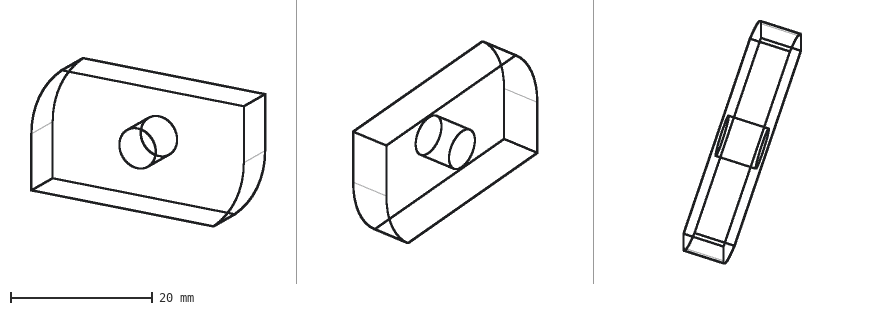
import cadquery as cq
import math

length = 35.0
thickness = 6.0
height = 19.0
hole_diameter = 6.0
corner_radius = 13.5
corner_inset = 5.0

half_length = length / 2
half_height = height / 2
arc_height = math.sqrt(corner_radius**2 - (corner_radius - corner_inset) ** 2)
arc_start_z = half_height - arc_height
edge_end_x = half_length - corner_inset


def make_plate():
    """Plate with two diagonally opposite rounded corners, centred on the origin."""
    return (
        cq.Workplane("XZ")
        .moveTo(-half_length, -half_height)
        .lineTo(-half_length, arc_start_z)
        .tangentArcPoint((-edge_end_x, half_height), relative=False)
        .lineTo(half_length, half_height)
        .lineTo(half_length, -arc_start_z)
        .tangentArcPoint((edge_end_x, -half_height), relative=False)
        .close()
        .extrude(thickness / 2, both=True)
    )


result = make_plate().faces("<Y").workplane(origin=(0, 0, 0)).hole(hole_diameter)